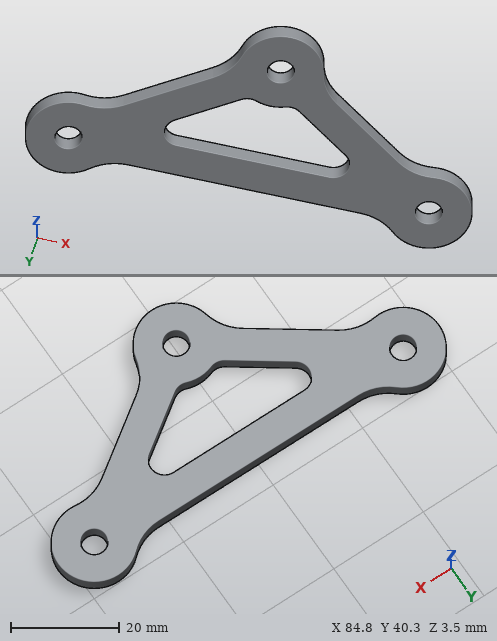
import cadquery as cq
import math

thickness = 3.5
boss_radius = 8.0
hole_diameter = 5.0
arm_width = 6.5
outer_fillet = 10.0
window_fillet = 3.0
edge_round = 0.15

left_centre = (0.0, 0.0)
lower_centre = (34.27, -24.27)
right_centre = (68.8, -0.37)
centres = [left_centre, lower_centre, right_centre]

middle = (
    sum(x for x, _ in centres) / len(centres),
    sum(y for _, y in centres) / len(centres),
)


def heading(start, end):
    """Angle in degrees of the line from start to end."""
    return math.degrees(math.atan2(end[1] - start[1], end[0] - start[0]))


def boss(centre):
    """Round pad, turned so its cylinder seam faces the inside of the plate."""
    pad = cq.Workplane("XY").circle(boss_radius).extrude(thickness)
    return pad.rotate((0, 0, 0), (0, 0, 1), heading(centre, middle)).translate(centre)


def arm(start, end):
    """Straight bar centred on the line joining two bolt centres."""
    bar = cq.Workplane("XY").rect(math.dist(start, end), arm_width).extrude(thickness)
    bar_middle = ((start[0] + end[0]) / 2, (start[1] + end[1]) / 2)
    return bar.rotate((0, 0, 0), (0, 0, 1), heading(start, end)).translate(bar_middle)


def make_plate():
    """Solid triangular plate with a boss at each corner and blended outer necks."""
    plate = cq.Workplane("XY").polyline(centres).close().extrude(thickness)
    for start, end in zip(centres, centres[1:] + centres[:1]):
        plate = plate.union(arm(start, end))
    for centre in centres:
        plate = plate.union(boss(centre))
    return plate.clean().edges("|Z").fillet(outer_fillet)


def make_window():
    """Triangular opening between the arms, with the lower boss protruding into it."""
    lower_boss = cq.Workplane("XY").center(*lower_centre).circle(boss_radius).extrude(thickness)
    return (
        cq.Workplane("XY")
        .polyline(centres)
        .close()
        .offset2D(-arm_width / 2)
        .extrude(thickness)
        .cut(lower_boss)
        .edges("|Z")
        .fillet(window_fillet)
    )


def make_holes():
    """Through holes for the three bolts."""
    return cq.Workplane("XY").pushPoints(centres).circle(hole_diameter / 2).extrude(thickness)


sharp_part = make_plate().cut(make_window()).cut(make_holes())
result = sharp_part.faces("<Z or >Z").edges().fillet(edge_round)